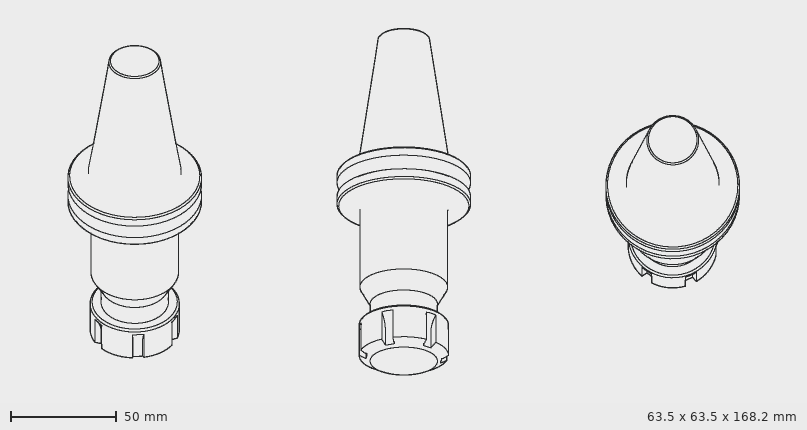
import cadquery as cq
import math

total_height = 168.2

gauge_radius = 22.0
gauge_height = 100.6
taper_slope = 7 / 48
tip_chamfer = 0.7
shank_fillet = 0.7

flange_diameter = 63.5
flange_radius = flange_diameter / 2
flange_bottom = 81.0
flange_top = 97.6
flange_chamfer = 0.8
groove_diameter = 56.0
groove_radius = groove_diameter / 2
groove_lower_edge = 85.8
groove_upper_edge = 92.9
groove_wall_angle = 26.0
groove_fillet = 1.2

body_radius = 20.9
body_bottom = 38.5
body_fillet = 2.0
neck_radius = 16.0
neck_top = 29.8

nut_radius = 21.2
nut_height = 20.0
nut_top_chamfer = 1.0
nut_bottom_radius = 16.0
nut_bottom_chamfer_height = 3.0

slot_count = 6
first_slot_angle = 30.0
slot_floor_radius = 17.8
slot_floor_width = 4.5
slot_mouth_width = 5.7
slot_top = 17.3
slot_runout_start = 9.1
cutter_overlap = 1.7


def make_holder():
    """Revolve shank, flange, body and neck as one profile."""
    tip_radius = gauge_radius - (total_height - gauge_height) * taper_slope
    groove_rise = (flange_radius - groove_radius) * math.tan(math.radians(groove_wall_angle))
    groove_bottom = groove_lower_edge + groove_rise
    groove_top = groove_upper_edge - groove_rise
    profile = [
        (0, nut_height),
        (neck_radius, nut_height),
        (neck_radius, neck_top),
        (body_radius, body_bottom),
        (body_radius, flange_bottom),
        (flange_radius - flange_chamfer, flange_bottom),
        (flange_radius, flange_bottom + flange_chamfer),
        (flange_radius, groove_lower_edge),
        (groove_radius, groove_bottom),
        (groove_radius, groove_top),
        (flange_radius, groove_upper_edge),
        (flange_radius, flange_top - flange_chamfer),
        (flange_radius - flange_chamfer, flange_top),
        (gauge_radius, flange_top),
        (gauge_radius, gauge_height),
        (tip_radius + tip_chamfer * taper_slope, total_height - tip_chamfer),
        (tip_radius - tip_chamfer, total_height),
        (0, total_height),
    ]
    holder = cq.Workplane("XZ").polyline(profile).close().revolve(360, (0, 0), (0, 1))

    def circles_at(solid, radius, height):
        tolerance = 0.02
        return solid.edges("%CIRCLE").filter(
            lambda edge: abs(edge.radius() - radius) < tolerance
            and abs(edge.Center().z - height) < tolerance
        )

    for height in (groove_bottom, groove_top):
        holder = circles_at(holder, groove_radius, height).fillet(groove_fillet)
    holder = circles_at(holder, gauge_radius, flange_top).fillet(shank_fillet)
    return circles_at(holder, body_radius, flange_bottom).fillet(body_fillet)


def make_nut():
    """Revolve the nut with its chamfered top and bottom rims."""
    profile = [
        (0, 0),
        (nut_bottom_radius, 0),
        (nut_radius, nut_bottom_chamfer_height),
        (nut_radius, nut_height - nut_top_chamfer),
        (nut_radius - nut_top_chamfer, nut_height),
        (0, nut_height),
    ]
    return cq.Workplane("XZ").polyline(profile).close().revolve(360, (0, 0), (0, 1))


def make_slot_cutter():
    """Flared slot along +X whose floor curves outward to the rim at its top."""
    depth = nut_radius - slot_floor_radius
    outer_radius = nut_radius + cutter_overlap
    flare = (slot_mouth_width - slot_floor_width) / 2 / depth
    outer_half_width = slot_mouth_width / 2 + flare * cutter_overlap
    floor_half_width = slot_floor_width / 2
    section = [
        (slot_floor_radius, -floor_half_width),
        (outer_radius, -outer_half_width),
        (outer_radius, outer_half_width),
        (slot_floor_radius, floor_half_width),
    ]
    prism = cq.Workplane("XY").polyline(section).close().extrude(slot_top)

    runout_height = slot_top - slot_runout_start
    arc_radius = (runout_height**2 + depth**2) / (2 * depth)
    half_angle = math.asin(runout_height / arc_radius) / 2
    arc_middle = (
        slot_floor_radius + arc_radius * (1 - math.cos(half_angle)),
        slot_runout_start + arc_radius * math.sin(half_angle),
    )
    side_profile = (
        cq.Workplane("XZ")
        .moveTo(slot_floor_radius, 0)
        .lineTo(slot_floor_radius, slot_runout_start)
        .threePointArc(arc_middle, (nut_radius, slot_top))
        .lineTo(outer_radius, slot_top)
        .lineTo(outer_radius, 0)
        .close()
        .extrude(slot_mouth_width, both=True)
    )
    return prism.intersect(side_profile)


nut = make_nut()
slot_cutter = make_slot_cutter()
for index in range(slot_count):
    angle = first_slot_angle + index * 360 / slot_count
    nut = nut.cut(slot_cutter.rotate((0, 0, 0), (0, 0, 1), angle))

result = make_holder().union(nut)